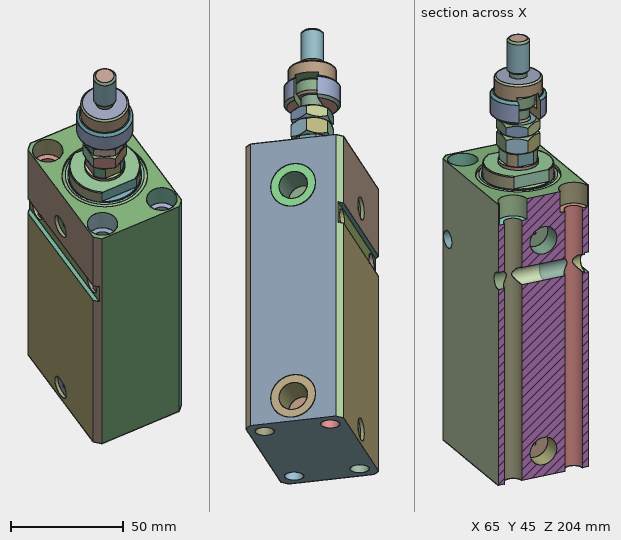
import cadquery as cq
import math

width = 65.0
depth = 45.0
housing_height = 137.5
corner_chamfer = 2.9

bolt_x = 24.9
bolt_y = 15.0
bolt_hole_diameter = 8.5
bolt_head_diameter = 13.5
bolt_head_depth = 10.2

groove_depth = 2.0
groove_height = 9.8
groove_middle_z = 100.0
cross_hole_diameter = 8.2

upper_port_z = 115.2
side_port_z = (12.2, upper_port_z)
side_port_diameter = 13.0
side_port_depth = 16.3
seal_face_diameter = 20.5
seal_face_depth = 0.2
front_port_z = (7.3, upper_port_z)
front_port_diameter = 10.5
front_port_depth = 1.6
pilot_diameter = 1.2
pilot_depth = 2.0

gland_diameter = 38.0
gland_seat_depth = 10.2
gland_rim_chamfer = 1.5
gland_boss_diameter = 31.6
gland_boss_edge = 0.5
gland_flats = 26.3
gland_relief_width = 0.6
gland_relief_depth = 0.6
gland_top_z = 143.3

rod_diameter = 18.0
rod_shoulder_z = 144.8
rod_end_diameter = 17.0
rod_end_flats = 15.0
rod_end_z = 150.7

hex_flats = 17.0
hex_joint_z = 158.8
hex_top_z = 165.0
hex_face_diameter = 16.0
hex_chamfer_angle = 35.0
neck_diameter = 10.2
neck_foot_diameter = 11.0
neck_foot_height = 1.2
head_diameter = 15.0
head_chamfer = 1.0
head_bottom_z = 171.3
head_top_z = 178.6

flange_diameter = 25.0
flange_bottom_z = 167.0
flange_top_z = 178.0
flange_chamfer = 1.2
cap_diameter = 21.5
cap_top_z = 185.8
cap_chamfer = 0.8
slot_width = 10.6
slot_top_z = 179.6
head_pocket_diameter = 18.8
undercut_diameter = 8.0
undercut_top_z = 187.8
stud_diameter = 10.2
stud_bottom_z = 188.8
stud_top_z = 204.0
stud_chamfer = 1.0


def cylinder(diameter, bottom_z, top_z):
    """Upright cylinder on the rod axis."""
    return cq.Workplane("XY", origin=(0, 0, bottom_z)).circle(diameter / 2).extrude(top_z - bottom_z)


def cone(bottom_diameter, top_diameter, bottom_z, top_z):
    """Upright truncated cone on the rod axis."""
    solid = cq.Solid.makeCone(
        bottom_diameter / 2, top_diameter / 2, top_z - bottom_z, pnt=cq.Vector(0, 0, bottom_z)
    )
    return cq.Workplane(solid)


def bar(size_x, size_y, bottom_z, top_z):
    """Upright rectangular bar centred on the rod axis."""
    return cq.Workplane("XY", origin=(0, 0, bottom_z)).rect(size_x, size_y).extrude(top_z - bottom_z)


def bored_from_left(diameter, z, start_depth, length):
    """Round cutter going inwards (+X) from a depth below the left face."""
    start = (-width / 2 + start_depth, 0, z)
    return cq.Workplane("YZ", origin=start).circle(diameter / 2).extrude(length)


def bored_from_front(diameter, z, start_depth, length):
    """Round cutter going inwards (+Y) from a depth below the front face."""
    start = (0, -depth / 2 + start_depth, z)
    return cq.Workplane("XZ", origin=start).circle(diameter / 2).extrude(-length)


def make_housing():
    block = bar(width, depth, 0, housing_height).edges("|Z").chamfer(corner_chamfer)

    block = (
        block.faces(">Z").workplane(origin=(0, 0, housing_height))
        .rect(2 * bolt_x, 2 * bolt_y, forConstruction=True).vertices()
        .cboreHole(bolt_hole_diameter, bolt_head_diameter, bolt_head_depth)
    )

    groove = cq.Workplane(origin=(0, -depth / 2, groove_middle_z)).box(width, 2 * groove_depth, groove_height)
    cross_holes = (
        cq.Workplane("XZ", origin=(0, 0, groove_middle_z))
        .pushPoints([(-bolt_x, 0), (bolt_x, 0)])
        .circle(cross_hole_diameter / 2).extrude(depth / 2, both=True)
    )
    block = block.cut(groove).cut(cross_holes)

    for z in side_port_z:
        block = block.cut(bored_from_left(seal_face_diameter, z, 0, seal_face_depth))
        block = block.cut(bored_from_left(side_port_diameter, z, 0, side_port_depth))
        block = block.cut(bored_from_left(pilot_diameter, z, side_port_depth, pilot_depth))

    for z in front_port_z:
        block = block.cut(bored_from_front(front_port_diameter, z, 0, front_port_depth))
        block = block.cut(bored_from_front(pilot_diameter, z, front_port_depth, pilot_depth))

    return block.cut(cylinder(gland_diameter, housing_height - gland_seat_depth, housing_height))


def make_gland():
    seat_z = housing_height - gland_seat_depth
    ring = cylinder(gland_diameter, seat_z, housing_height).faces(">Z").chamfer(gland_rim_chamfer)
    boss = cylinder(gland_boss_diameter, housing_height, gland_top_z).faces(">Z").chamfer(gland_boss_edge)
    boss = boss.intersect(bar(gland_flats, gland_boss_diameter, housing_height, gland_top_z))
    relief_floor_z = housing_height - gland_relief_depth
    relief_diameter = gland_boss_diameter + 2 * gland_relief_width
    relief = cylinder(relief_diameter, relief_floor_z, housing_height)
    relief = relief.cut(cylinder(gland_boss_diameter, relief_floor_z, housing_height))
    return ring.cut(relief).union(boss).cut(cylinder(rod_diameter, seat_z, gland_top_z))


def make_piston_rod():
    shaft = cylinder(rod_diameter, housing_height - gland_seat_depth, rod_shoulder_z)
    end = cylinder(rod_end_diameter, rod_shoulder_z, rod_end_z)
    end = end.intersect(bar(rod_end_flats, rod_end_flats, rod_shoulder_z, rod_end_z))
    return shaft.union(end)


def make_hexagon(bottom_z, top_z):
    """Hexagon with corners on the X axis, its corners chamfered at both ends."""
    corner_diameter = hex_flats / math.cos(math.radians(30))
    chamfer_height = (corner_diameter - hex_face_diameter) / 2 * math.tan(math.radians(hex_chamfer_angle))
    prism = (
        cq.Workplane("XY", origin=(0, 0, bottom_z))
        .polygon(6, corner_diameter).extrude(top_z - bottom_z)
    )
    envelope = (
        cone(hex_face_diameter, corner_diameter, bottom_z, bottom_z + chamfer_height)
        .union(cylinder(corner_diameter, bottom_z + chamfer_height, top_z - chamfer_height))
        .union(cone(corner_diameter, hex_face_diameter, top_z - chamfer_height, top_z))
    )
    return prism.intersect(envelope)


def make_link_bolt():
    foot_top_z = hex_top_z + neck_foot_height
    head = cylinder(head_diameter, head_bottom_z, head_top_z).edges().chamfer(head_chamfer)
    return (
        make_hexagon(rod_end_z, hex_joint_z)
        .union(make_hexagon(hex_joint_z, hex_top_z))
        .union(cone(neck_foot_diameter, neck_diameter, hex_top_z, foot_top_z))
        .union(cylinder(neck_diameter, foot_top_z, head_bottom_z))
        .union(head)
    )


def make_coupling():
    flange = cylinder(flange_diameter, flange_bottom_z, flange_top_z).edges().chamfer(flange_chamfer)
    cap = cylinder(cap_diameter, flange_top_z, cap_top_z).faces(">Z").chamfer(cap_chamfer)
    undercut = cylinder(undercut_diameter, cap_top_z, undercut_top_z)
    runout = cone(undercut_diameter, stud_diameter, undercut_top_z, stud_bottom_z)
    stud = cylinder(stud_diameter, stud_bottom_z, stud_top_z).faces(">Z").chamfer(stud_chamfer)
    body = flange.union(cap).union(undercut).union(runout).union(stud)

    slot_length = flange_diameter / 2
    slot_height = slot_top_z - flange_bottom_z
    slot = (
        cq.Workplane("XY", origin=(-slot_length / 2, 0, flange_bottom_z))
        .rect(slot_length, slot_width).extrude(slot_height)
        .union(cylinder(slot_width, flange_bottom_z, slot_top_z))
    )
    pocket = cylinder(head_pocket_diameter, head_bottom_z, slot_top_z)
    return body.cut(slot).cut(pocket)


housing = make_housing()
gland = make_gland()
piston_rod = make_piston_rod()
link_bolt = make_link_bolt()
coupling = make_coupling()

result = cq.Compound.makeCompound(
    [housing.val(), gland.val(), piston_rod.val(), link_bolt.val(), coupling.val()]
)